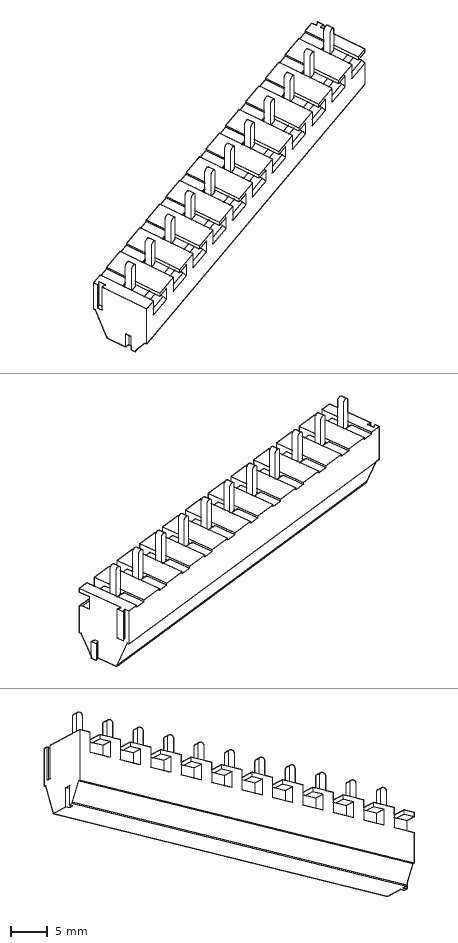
import cadquery as cq

POLES = 11
PITCH = 5.0
WIDTH = 8.6
LENGTH = POLES * PITCH
HEIGHT = 10.2

UNDERCUT = 0.3
LEFT_SIDE_BOTTOM = 4.7
RIGHT_SIDE_BOTTOM = 2.8
BOTTOM_LEFT = 2.1
BOTTOM_RIGHT = 6.75
BOTTOM_RIM = 0.2

PIN_X = 4.35
PIN_THICKNESS = 1.0
PIN_WIDTH = 1.0
PIN_RISE = 4.3
PIN_TIP_RISE = 0.4
PIN_TOP = HEIGHT + PIN_RISE

SLOT_WIDTH = 1.6
SLOT_DEPTH = 0.3
DEEP_SLOT_START = 3.5
DEEP_SLOT_DEPTH = 0.65

RECESS_START = 6.85
SILL_START = 8.05
SILL_DROP = 0.25
RECESS_CEILING = HEIGHT - DEEP_SLOT_DEPTH
RECESS_FLOOR = 7.5
POLE_WALL = (PITCH - SLOT_WIDTH) / 2

KEY_HEIGHT = 0.6
NECK_HEIGHT = 0.2
UPPER_KEY_X = 1.05
UPPER_KEY_NECK = 0.7
UPPER_KEY_TIP = 1.1
UPPER_KEY_LENGTH = 4.85
LOWER_KEY_X = 5.62
LOWER_KEY_NECK = 0.6
LOWER_KEY_TIP = 0.9
LOWER_KEY_LENGTH = 2.8


def box(x_range, y_range, z_range):
    """Axis-aligned block given by its (low, high) limits."""
    size = [high - low for low, high in (x_range, y_range, z_range)]
    corner = (x_range[0], y_range[0], z_range[0])
    return cq.Workplane("XY").box(*size, centered=False).translate(corner)


def pole_centre(index):
    return (index + 0.5) * PITCH


def housing():
    outline = [
        (0, HEIGHT),
        (0, LEFT_SIDE_BOTTOM),
        (UNDERCUT, LEFT_SIDE_BOTTOM),
        (BOTTOM_LEFT, BOTTOM_RIM),
        (BOTTOM_LEFT, 0),
        (BOTTOM_RIGHT, 0),
        (BOTTOM_RIGHT, BOTTOM_RIM),
        (WIDTH - UNDERCUT, RIGHT_SIDE_BOTTOM),
        (WIDTH, RIGHT_SIDE_BOTTOM),
        (WIDTH, HEIGHT),
    ]
    return cq.Workplane("XZ").polyline(outline).close().extrude(-LENGTH)


def side_recess(centre):
    """Recess from the wall of one pole to the start of the next, with a sill sloping outward."""
    outline = [
        (RECESS_START, RECESS_CEILING),
        (RECESS_START, RECESS_FLOOR),
        (SILL_START, RECESS_FLOOR),
        (WIDTH, RECESS_FLOOR - SILL_DROP),
        (WIDTH, RECESS_CEILING),
    ]
    recess_start_y = centre - PITCH / 2 + POLE_WALL
    plane = cq.Workplane("XZ", origin=(0, recess_start_y, 0))
    return plane.polyline(outline).close().extrude(-(PITCH - POLE_WALL))


def slot(centre):
    """Cross slot: shallow at the left, deeper around the pin, open into the side recess."""
    span = (centre - SLOT_WIDTH / 2, centre + SLOT_WIDTH / 2)
    shallow = box((0, WIDTH), span, (HEIGHT - SLOT_DEPTH, HEIGHT))
    deep = box((DEEP_SLOT_START, WIDTH), span, (HEIGHT - DEEP_SLOT_DEPTH, HEIGHT))
    return shallow.union(deep)


def pin(centre):
    """Square pin with an arched tip, rooted in the housing."""
    half_width = PIN_WIDTH / 2
    shoulder = PIN_TOP - PIN_TIP_RISE
    return (
        cq.Workplane("YZ", origin=(PIN_X - PIN_THICKNESS / 2, 0, 0))
        .moveTo(centre - half_width, RECESS_FLOOR)
        .lineTo(centre - half_width, shoulder)
        .threePointArc((centre, PIN_TOP), (centre + half_width, shoulder))
        .lineTo(centre + half_width, RECESS_FLOOR)
        .close()
        .extrude(PIN_THICKNESS)
    )


def upright_bar(outline, bottom, height):
    return cq.Workplane("XY", origin=(0, 0, bottom)).polyline(outline).close().extrude(height)


def dovetail(x, y, neck, tip):
    """Outline of a dovetail with a short straight neck at y and a wide tip toward +Y."""
    return [
        (x - neck / 2, y),
        (x - neck / 2, y + NECK_HEIGHT),
        (x - tip / 2, y + KEY_HEIGHT),
        (x + tip / 2, y + KEY_HEIGHT),
        (x + neck / 2, y + NECK_HEIGHT),
        (x + neck / 2, y),
    ]


def upper_dovetail(y):
    outline = dovetail(UPPER_KEY_X, y, UPPER_KEY_NECK, UPPER_KEY_TIP)
    return upright_bar(outline, HEIGHT - UPPER_KEY_LENGTH, UPPER_KEY_LENGTH)


def lower_key():
    outline = dovetail(LOWER_KEY_X, LENGTH, LOWER_KEY_NECK, LOWER_KEY_TIP)
    return upright_bar(outline, 0, LOWER_KEY_LENGTH)


def lower_groove():
    """Groove in the front end, narrowing from its mouth to its floor."""
    outline = [
        (LOWER_KEY_X - LOWER_KEY_TIP / 2, 0),
        (LOWER_KEY_X - LOWER_KEY_NECK / 2, KEY_HEIGHT),
        (LOWER_KEY_X + LOWER_KEY_NECK / 2, KEY_HEIGHT),
        (LOWER_KEY_X + LOWER_KEY_TIP / 2, 0),
    ]
    return upright_bar(outline, 0, LOWER_KEY_LENGTH)


body = housing()
for pole in range(POLES):
    body = body.cut(side_recess(pole_centre(pole)))
    body = body.cut(slot(pole_centre(pole)))
    body = body.union(pin(pole_centre(pole)))

body = body.cut(upper_dovetail(0)).cut(lower_groove())
result = body.union(upper_dovetail(LENGTH)).union(lower_key())